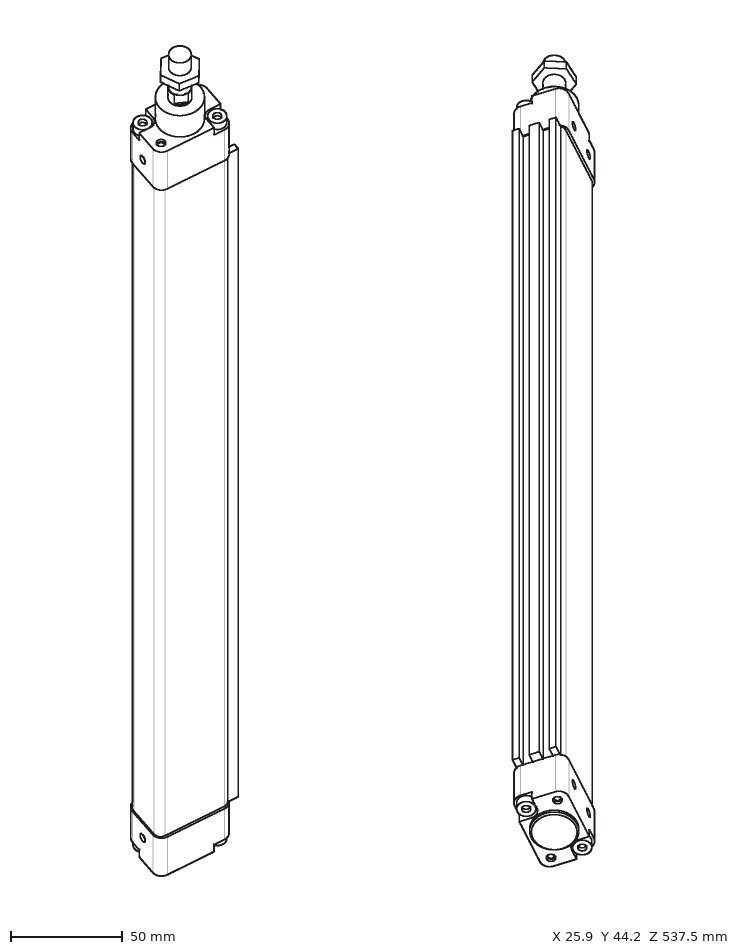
import cadquery as cq
import math


total_length = 537.5
bottom_boss_height = 2.0
cap_height = 26.0
tube_length = 440.0
neck_height = 14.5

bottom_cap_base = bottom_boss_height
tube_base = bottom_cap_base + cap_height
tube_top = tube_base + tube_length
top_cap_top = tube_top + cap_height
neck_top = top_cap_top + neck_height

tube_width = 23.5
tube_depth = 38.5
tube_corner_radius = 3.5
cap_overhang_x = 1.2
cap_overhang_y = 0.65
cap_width = tube_width + 2 * cap_overhang_x
cap_depth = tube_depth + 2 * cap_overhang_y
cap_corner_radius = tube_corner_radius + cap_overhang_x
neck_diameter = 22.0
bottom_boss_chamfer = 0.8

rail_overhang = 4.4
rail_height = rail_overhang + cap_overhang_y
rail_root = tube_corner_radius
center_rail_width = 5.0
side_rail_width = 3.0
rail_slot_width = 5.0
side_rail_x = center_rail_width / 2 + rail_slot_width + side_rail_width / 2

bolt_x = 7.5
bolt_y = 15.0
screw_pocket_width = 10.0
screw_pocket_depth = 5.0
screw_pocket_radius = 4.5
screw_head_diameter = 8.5
screw_head_height = 4.5
screw_socket_diameter = 4.0
screw_socket_depth = 2.0
mount_hole_depth = 11.0

wall_hole_inset = 15.5
wall_hole_depth = 5.5
side_hole_spacing = 18.0

hole_mouth_diameter = 4.15
hole_mouth_depth = 1.5
hole_core_diameter = 3.1

thread_diameter = 10.0
rod_diameter = 11.0
rod_depth_in_housing = 21.5
rod_flat_width = 8.5
rod_flat_length = 6.0
rod_flat_top = neck_top + 7.0
rod_flat_turn = -25.0

nut_width = 17.0
nut_height = 5.0
nut_base = total_length - 13.5
nut_corner_diameter = nut_width / math.cos(math.pi / 6)
nut_turn = 25.0


def rounded_bar(width, depth, corner_radius, base, height):
    bar = cq.Workplane("XY").workplane(offset=base).rect(width, depth).extrude(height)
    return bar.edges("|Z").fillet(corner_radius)


def cylinder(diameter, base, height, x=0.0, y=0.0):
    return cq.Workplane("XY", origin=(x, y, base)).circle(diameter / 2).extrude(height)


def make_tube():
    tube = rounded_bar(tube_width, tube_depth, tube_corner_radius, tube_base, tube_length)
    rail_sizes = [
        (-side_rail_x, side_rail_width),
        (0.0, center_rail_width),
        (side_rail_x, side_rail_width),
    ]
    for rail_x, rail_width in rail_sizes:
        rail = cq.Workplane("XY").box(
            rail_width, rail_height + rail_root, tube_length, centered=(True, False, False)
        )
        tube = tube.union(rail.translate((rail_x, tube_depth / 2 - rail_root, tube_base)))
    return tube


def stepped_hole(depth):
    """Cutting tool with its mouth at Z = 0, going down."""
    core = cylinder(hole_core_diameter, -depth, depth)
    return core.union(cylinder(hole_mouth_diameter, -hole_mouth_depth, hole_mouth_depth))


def make_wall_holes(hole_z):
    """Port in the -Y wall and the pair of holes in the -X wall, as cutting tools."""
    hole = stepped_hole(wall_hole_depth)
    holes = hole.rotate((0, 0, 0), (1, 0, 0), 90).translate((0, -cap_depth / 2, hole_z))
    side_hole = hole.rotate((0, 0, 0), (0, 1, 0), -90)
    for side in (-1, 1):
        holes = holes.union(side_hole.translate((-cap_width / 2, side * side_hole_spacing / 2, hole_z)))
    return holes


def make_screw_pocket(floor):
    """Corner cut-out at (-X, -Y) that clears the head of a cap screw."""
    pocket = cq.Workplane("XY", origin=(-cap_width / 2, -cap_depth / 2, floor)).box(
        2 * screw_pocket_width, 2 * screw_pocket_width, screw_pocket_depth, centered=(True, True, False)
    )
    return pocket.edges("|Z").fillet(screw_pocket_radius)


def make_cap():
    """End cap standing on Z = 0 with its outer face up."""
    cap = rounded_bar(cap_width, cap_depth, cap_corner_radius, 0, cap_height)
    cap = cap.cut(make_wall_holes(cap_height - wall_hole_inset))
    pocket_floor = cap_height - screw_pocket_depth
    socket_floor = pocket_floor + screw_head_height - screw_socket_depth
    mount_hole = stepped_hole(mount_hole_depth)
    for turn, side in ((0, -1), (180, 1)):
        x = side * bolt_x
        y = side * bolt_y
        cap = cap.cut(make_screw_pocket(pocket_floor).rotate((0, 0, 0), (0, 0, 1), turn))
        cap = cap.union(cylinder(screw_head_diameter, pocket_floor, screw_head_height, x, y))
        cap = cap.cut(cylinder(screw_socket_diameter, socket_floor, screw_socket_depth, x, y))
        cap = cap.cut(mount_hole.translate((-x, y, cap_height)))
    return cap


def make_housing():
    top_cap = make_cap().translate((0, 0, tube_top))
    bottom_cap = make_cap().mirror("XY").translate((0, 0, tube_base))
    housing = make_tube().union(top_cap).union(bottom_cap)
    housing = housing.union(cylinder(neck_diameter, top_cap_top, neck_height))
    bottom_boss = cylinder(neck_diameter, 0, bottom_boss_height).faces("<Z").chamfer(bottom_boss_chamfer)
    housing = housing.union(bottom_boss)
    rod_bore = cylinder(rod_diameter, neck_top - rod_depth_in_housing, rod_depth_in_housing)
    return housing.cut(rod_bore)


def make_rod():
    """Rod with two wrench flats below its threaded end."""
    base = neck_top - rod_depth_in_housing
    rod = cylinder(rod_diameter, base, rod_flat_top - base)
    rod = rod.union(cylinder(thread_diameter, rod_flat_top, total_length - rod_flat_top))
    flat_base = rod_flat_top - rod_flat_length
    flat_block = cq.Workplane("XY").box(
        rod_diameter, rod_diameter, rod_flat_length, centered=(True, True, False)
    )
    for side in (-1, 1):
        cutter = flat_block.translate((side * (rod_flat_width + rod_diameter) / 2, 0, flat_base))
        rod = rod.cut(cutter.rotate((0, 0, 0), (0, 0, 1), rod_flat_turn))
    return rod


def make_nut():
    nut = cq.Workplane("XY").workplane(offset=nut_base).polygon(6, nut_corner_diameter)
    nut = nut.extrude(nut_height).rotate((0, 0, 0), (0, 0, 1), nut_turn)
    return nut.cut(cylinder(thread_diameter, nut_base, nut_height))


housing = make_housing()
rod = make_rod()
nut = make_nut()

result = cq.Compound.makeCompound([housing.val(), rod.val(), nut.val()])